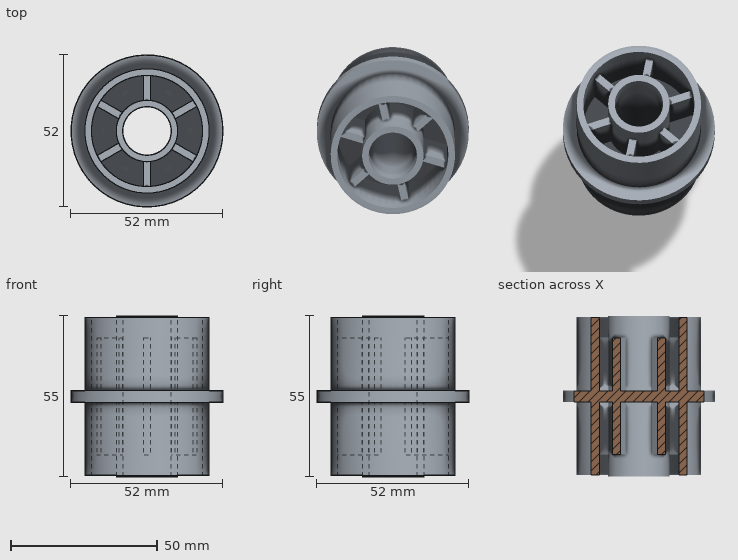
import cadquery as cq

flange_diameter = 52.0
flange_thickness = 4.0

shell_outer_diameter = 42.5
shell_wall = 2.25
shell_inner_diameter = shell_outer_diameter - 2 * shell_wall

hub_outer_diameter = 21.0
hub_wall = 2.25
bore_diameter = hub_outer_diameter - 2 * hub_wall

hub_length = 55.0
hub_overhang = 0.5
shell_length = hub_length - 2 * hub_overhang

web_thickness = flange_thickness

rib_count = 6
rib_thickness = 2.5
rib_recess = 7.0
rib_height = shell_length - 2 * rib_recess
first_rib_angle = 360 / rib_count / 2


def cylinder(diameter, length):
    """Solid cylinder on the Z axis, centred on the mid-plane."""
    return cq.Workplane("XY", origin=(0, 0, -length / 2)).circle(diameter / 2).extrude(length)


def tube(outer_diameter, inner_diameter, length):
    """Hollow cylinder on the Z axis, centred on the mid-plane."""
    return cylinder(outer_diameter, length).cut(cylinder(inner_diameter, length))


def rib(angle):
    """Radial wall running from mid hub wall to mid shell wall."""
    inner_radius = (hub_outer_diameter - hub_wall) / 2
    outer_radius = (shell_outer_diameter - shell_wall) / 2
    length = outer_radius - inner_radius
    return (
        cq.Workplane("XY")
        .box(length, rib_thickness, rib_height)
        .translate((inner_radius + length / 2, 0, 0))
        .rotate((0, 0, 0), (0, 0, 1), angle)
    )


shell = tube(shell_outer_diameter, shell_inner_diameter, shell_length)
hub = tube(hub_outer_diameter, bore_diameter, hub_length)
flange = tube(flange_diameter, shell_inner_diameter, flange_thickness)
web = tube(shell_outer_diameter, bore_diameter, web_thickness)

result = shell.union(flange).union(web).union(hub)
for index in range(rib_count):
    result = result.union(rib(first_rib_angle + index * 360 / rib_count))